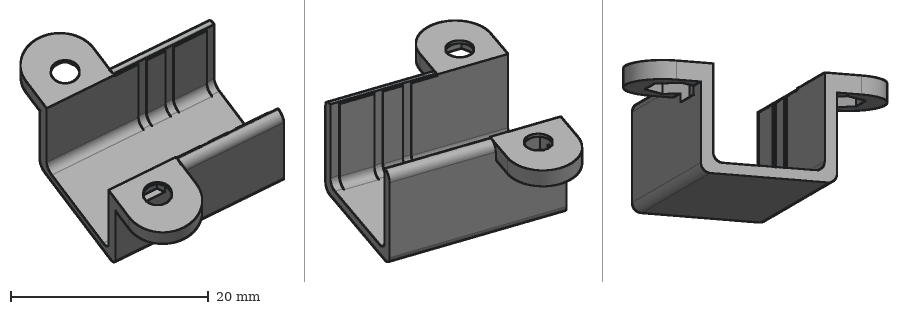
import cadquery as cq

total_width = 28.0
length = 20.0
height = 11.4
inner_width = 12.05
wall = 1.35
floor = 1.18
corner_radius = 1.0

tab_depth = 8.0
tab_thickness = 2.0
hole_diameter = 2.9
hole_spacing = 17.98
nut_across_corners = 5.6
nut_roof = 0.4
nut_pocket_height = 2.52

recess_depth = 0.17
groove_width = 0.98
groove_distances_from_back = (0.0, 4.9, 8.12)

outer_width = inner_width + 2 * wall
tab_center_y = tab_depth / 2


def rounded_bar(width, bottom, y_start, y_end):
    """Bar along Y, centred on X, up to the top plane, with rounded lower edges."""
    return (
        cq.Workplane("XY")
        .box(width, y_end - y_start, height - bottom, centered=(True, False, False))
        .translate((0, y_start, bottom))
        .edges("|Y and <Z")
        .fillet(corner_radius)
    )


def channel_shell():
    """Solid channel block, with its upper outer edges rounded as well."""
    block = rounded_bar(outer_width, 0, 0, length)
    return block.edges("|Y and >Z").fillet(corner_radius)


def tab_plate():
    """Plate with round ends, forming both tabs and squaring the wall tops at the front."""
    return (
        cq.Workplane("XY", origin=(0, tab_center_y, height - tab_thickness))
        .slot2D(total_width, tab_depth)
        .extrude(tab_thickness)
    )


def nut_pocket(center_x):
    """Screw hole with a hexagonal nut pocket below it that bites into the wall."""
    hole = (
        cq.Workplane("XY", origin=(center_x, tab_center_y, height))
        .circle(hole_diameter / 2)
        .extrude(-tab_thickness)
    )
    nut = (
        cq.Workplane("XY")
        .polygon(6, nut_across_corners)
        .extrude(-nut_pocket_height)
        .rotate((0, 0, 0), (0, 0, 1), 90)
        .translate((center_x, tab_center_y, height - nut_roof))
    )
    return hole.union(nut)


def wall_groove(distance_from_back):
    """Pair of vertical grooves, one in each inner wall face."""
    y_end = length - distance_from_back
    return rounded_bar(inner_width + 2 * recess_depth, floor, y_end - groove_width, y_end)


def top_recess():
    """Step along the upper inner edge of both walls behind the tabs."""
    return (
        cq.Workplane("XY", origin=(0, tab_depth, height - recess_depth))
        .box(inner_width + 2 * recess_depth, length - tab_depth, recess_depth,
             centered=(True, False, False))
    )


result = channel_shell().union(tab_plate())
result = result.cut(rounded_bar(inner_width, floor, 0, length))
for distance in groove_distances_from_back:
    result = result.cut(wall_groove(distance))
result = result.cut(top_recess())
for side in (-1, 1):
    result = result.cut(nut_pocket(side * hole_spacing / 2))